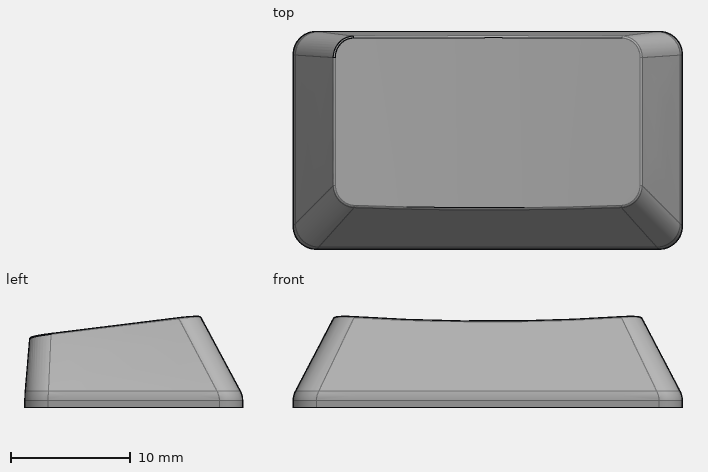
import cadquery as cq
import math

length = 32.45
width = 18.17
base_corner_radius = 1.95
skirt_height = 0.6

shoulder_top_z = 1.35
side_inset = 0.2
front_inset = 0.2
back_inset = 0.03

top_length = 25.65
top_front_y = -5.5
top_back_y = 8.65
top_front_z = 7.72
top_back_z = 5.97
top_corner_radius = 1.8
dish_depth = 0.52
top_edge_radius = 0.2

top_run = top_back_y - top_front_y
top_drop = top_front_z - top_back_z
top_width = math.hypot(top_run, top_drop)
top_plane = cq.Plane(
    origin=(0, (top_front_y + top_back_y) / 2, (top_front_z + top_back_z) / 2),
    xDir=(1, 0, 0),
    normal=(0, top_drop, top_run),
)


def rounded_rectangle(size_x, size_y, radius):
    return cq.Sketch().rect(size_x, size_y).vertices().fillet(radius)


def make_skirt():
    outline = rounded_rectangle(length, width, base_corner_radius)
    return cq.Workplane("XY").placeSketch(outline).extrude(skirt_height)


def shoulder_outline(height_fraction):
    """Outline across the shoulder, drawn in along a parabola that starts upright."""
    drawn_in = height_fraction**2
    outline = rounded_rectangle(
        length - 2 * side_inset * drawn_in,
        width - (front_inset + back_inset) * drawn_in,
        base_corner_radius,
    )
    shift_y = (front_inset - back_inset) / 2 * drawn_in
    level = skirt_height + (shoulder_top_z - skirt_height) * height_fraction
    return outline.moved(cq.Location(cq.Vector(0, shift_y, level)))


def make_shoulder():
    outlines = [shoulder_outline(fraction) for fraction in (0, 0.5, 1)]
    return cq.Workplane("XY").placeSketch(*outlines).loft()


def make_walls():
    """Walls that lean in from the shoulder to the tilted top outline."""
    upper = rounded_rectangle(top_length, top_width, top_corner_radius)
    upper = upper.moved(cq.Location(top_plane))
    return cq.Workplane("XY").placeSketch(shoulder_outline(1), upper).loft(ruled=True)


def make_dish():
    """Long shallow cylinder that hollows the top from side to side."""
    half_chord = top_length / 2
    dish_radius = (half_chord**2 + dish_depth**2) / (2 * dish_depth)
    section_plane = cq.Plane(
        origin=top_plane.origin.toTuple(),
        xDir=(1, 0, 0),
        normal=top_plane.yDir.toTuple(),
    )
    return (
        cq.Workplane(section_plane)
        .center(0, dish_depth - dish_radius)
        .circle(dish_radius)
        .extrude(width, both=True)
    )


keycap = make_skirt().union(make_shoulder()).union(make_walls()).cut(make_dish())
dished_face = keycap.faces(cq.selectors.NearestToPointSelector(top_plane.origin.toTuple()))
result = dished_face.edges().fillet(top_edge_radius)